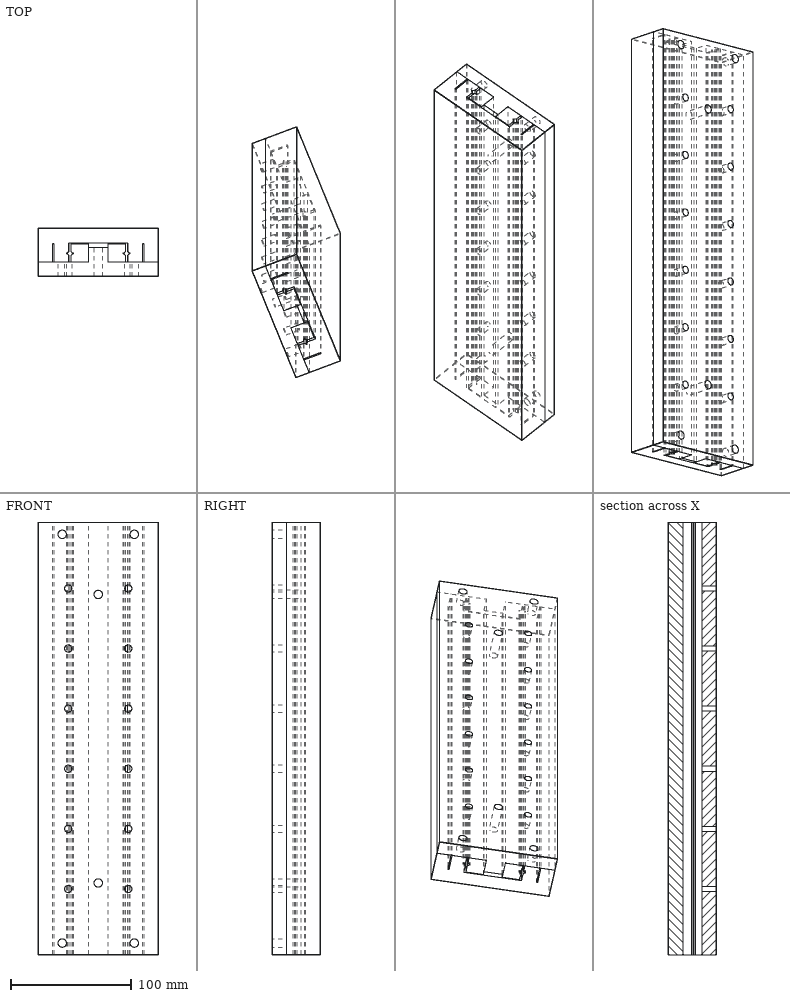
import cadquery as cq

width = 100.0
height = 40.0
length = 360.0

base_thickness = 12.0
spine_width = 16.0
spine_top = 24.0

edge_chamfer = 0.3

rail_outer_x = 22.7
rail_top = 27.0
channel_half_width = 24.4
channel_top = 27.6

groove_y = 19.0
groove_depth = 1.6
relief_depth = 2.0
relief_width = 0.5

slit_x = 37.5
slit_width = 1.0
slit_top = 27.0

corner_hole_diameter = 7.0
corner_hole_spacing_x = 60.0
corner_hole_spacing_z = 340.0
center_hole_diameter = 7.0
center_hole_spacing_z = 240.0
row_hole_diameter = 6.0
row_hole_spacing_x = 50.0
row_hole_pitch = 50.0
row_hole_count = 6


def bar(x_min, x_max, y_min, y_max):
    """Full-length bar with a rectangular section."""
    return (
        cq.Workplane("XY")
        .box(x_max - x_min, y_max - y_min, length, centered=(False, False, True))
        .translate((x_min, y_min, 0))
    )


def guide_groove(face_x, inward):
    """Full-length V groove cut from the face at face_x, with a relief slit at its root."""
    root_x = face_x + inward * groove_depth
    end_x = face_x + inward * relief_depth
    vee = (
        cq.Workplane("XY", origin=(0, 0, -length / 2))
        .polyline([
            (face_x, groove_y - groove_depth),
            (root_x, groove_y),
            (face_x, groove_y + groove_depth),
        ])
        .close()
        .extrude(length)
    )
    relief = bar(
        min(face_x, end_x),
        max(face_x, end_x),
        groove_y - relief_width / 2,
        groove_y + relief_width / 2,
    )
    return vee.union(relief)


def base_holes(diameter, x_spacing, x_count, z_spacing, z_count, depth):
    """Grid of round cutters running from the outer face of the base into the part."""
    return (
        cq.Workplane("XZ")
        .rarray(x_spacing, z_spacing, x_count, z_count)
        .circle(diameter / 2)
        .extrude(-depth)
    )


def make_base():
    """Plate with a central spine and all mounting holes."""
    plate = bar(-width / 2, width / 2, 0, base_thickness)
    plate = plate.edges("not >Y").chamfer(edge_chamfer)
    spine = bar(-spine_width / 2, spine_width / 2, base_thickness, spine_top)
    corner_holes = base_holes(
        corner_hole_diameter, corner_hole_spacing_x, 2, corner_hole_spacing_z, 2, base_thickness
    )
    row_holes = base_holes(
        row_hole_diameter, row_hole_spacing_x, 2, row_hole_pitch, row_hole_count, base_thickness
    )
    center_holes = base_holes(center_hole_diameter, 1, 1, center_hole_spacing_z, 2, spine_top)
    return plate.union(spine).cut(corner_holes).cut(row_holes).cut(center_holes)


def make_rail(side):
    """Guide rail between the spine and the gap; side is -1 or 1."""
    inner_x = side * spine_width / 2
    outer_x = side * rail_outer_x
    rail = bar(min(inner_x, outer_x), max(inner_x, outer_x), base_thickness, rail_top)
    return rail.cut(guide_groove(outer_x, -side))


def make_carriage():
    """Upper block with the channel for the rails, its grooves and the side slits."""
    carriage = bar(-width / 2, width / 2, base_thickness, height)
    carriage = carriage.edges("not <Y").chamfer(edge_chamfer)
    carriage = carriage.cut(bar(-channel_half_width, channel_half_width, base_thickness, channel_top))
    for side in (-1, 1):
        carriage = carriage.cut(guide_groove(side * channel_half_width, side))
        slit_center = side * slit_x
        slit = bar(slit_center - slit_width / 2, slit_center + slit_width / 2, base_thickness, slit_top)
        carriage = carriage.cut(slit)
    return carriage


base = make_base()
rails = [make_rail(side) for side in (-1, 1)]
carriage = make_carriage()

result = cq.Compound.makeCompound([
    base.val(),
    *[rail.val() for rail in rails],
    carriage.val(),
])